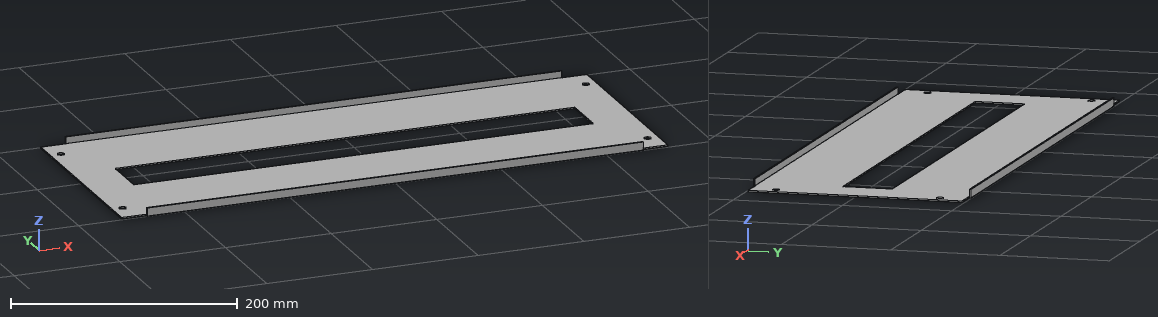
import cadquery as cq

plate_length = 517.0
overall_width = 199.0
overall_height = 8.0
sheet_thickness = 1.5
plate_width = overall_width - 2 * sheet_thickness

flange_length = 469.5

window_length = 435.0
window_width = 45.0

hole_diameter = 6.0
hole_spacing_x = 497.0
hole_spacing_y = 150.0


def make_plate():
    return cq.Workplane("XY").box(
        plate_length, plate_width, sheet_thickness, centered=(True, True, False)
    )


def make_flange(side):
    """Flange outside the plate edge; side is +1 for +Y or -1 for -Y."""
    center_y = side * (plate_width + sheet_thickness) / 2
    return (
        cq.Workplane("XY")
        .center(0, center_y)
        .box(flange_length, sheet_thickness, overall_height, centered=(True, True, False))
    )


result = make_plate()
for side in (-1, 1):
    result = result.union(make_flange(side))

window = cq.Workplane("XY").rect(window_length, window_width).extrude(sheet_thickness)
holes = (
    cq.Workplane("XY")
    .rect(hole_spacing_x, hole_spacing_y, forConstruction=True)
    .vertices()
    .circle(hole_diameter / 2)
    .extrude(sheet_thickness)
)
result = result.cut(window).cut(holes)